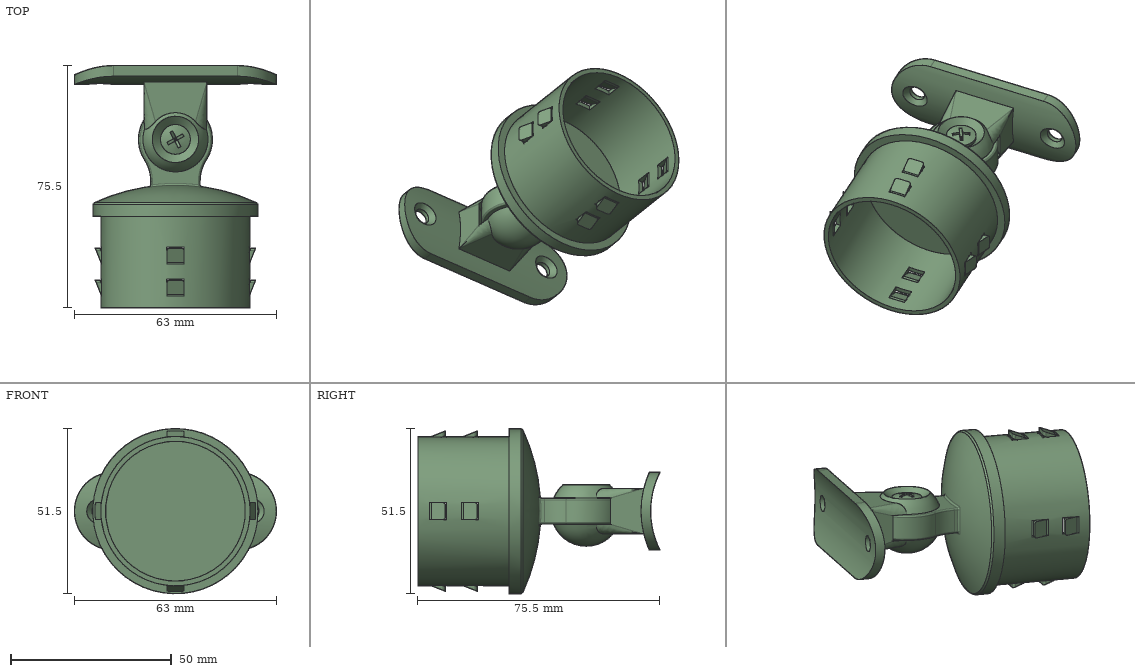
import cadquery as cq
import math


OVERALL_LENGTH = 75.5

TUBE_END_Y = -52.5
TUBE_RADIUS = 46.5 / 2
BORE_RADIUS = 43.5 / 2
FLANGE_RADIUS = 51.5 / 2
FLANGE_FRONT_Y = -24.0
FLANGE_BACK_Y = -20.3
FLANGE_BEVEL = 0.45
DOME_APEX_Y = -14.1
DOME_RADIUS = 60.0

TAB_SIZE = 5.3
TAB_ROOT = 0.6
TAB_INNER_ROOT = 0.9
TAB_RISE = 1.7
TAB_GAP = 0.3
TAB_CORNER_RADIUS = 0.75
TAB_FIRST_FRONT_Y = -33.6
TAB_PITCH = 10.0
TAB_ROWS = 2
TABS_PER_ROW = 4

EYE_RADIUS = 11.55
NECK_HALF_WIDTH = 7.7
NECK_FLANK_RADIUS = 12.5
TONGUE_THICKNESS = 8.1
TONGUE_EDGE_FILLET = 0.5
NECK_ROOT_FILLET = 0.6

PLATE_LENGTH = 63.0
PLATE_WIDTH = 24.3
PLATE_THICKNESS = 3.0
PLATE_EDGE_Y = OVERALL_LENGTH + TUBE_END_Y
PLATE_BACK_RADIUS = 26.8
PLATE_HOLE_X = 23.5
PLATE_HOLE_DIAMETER = 5.0
COUNTERSINK_DIAMETER = 8.3
COUNTERSINK_ANGLE = 90

ARM_WIDTH = 19.6
ARM_HEIGHT = 14.2
ARM_ROUNDING_START_Y = 17.5
ARM_CORNER_START_RADIUS = 0.1
ARM_CORNER_END_RADIUS = 5.2
BALL_RADIUS = 10.95
BALL_TOP_Z = 8.2
SLOT_HEIGHT = 8.3
SLOT_RADIUS = 12.4

SCREW_HEAD_RADIUS = 9.3 / 2
SCREW_SHANK_RADIUS = 7.0 / 2
SCREW_HEAD_EDGE_Z = 6.95
SCREW_HEAD_EDGE_HEIGHT = 1.0
SCREW_CROWN = 0.9
SCREW_BOTTOM_Z = -ARM_HEIGHT / 2
CROSS_LENGTH = 5.5
CROSS_WIDTH = 0.9
CROSS_DEPTH = 2.1
CROSS_ANGLE = 28

dish_floor_z = SCREW_HEAD_EDGE_Z - SCREW_HEAD_EDGE_HEIGHT
dish_rim_radius = math.sqrt(BALL_RADIUS**2 - BALL_TOP_Z**2)
plate_axis_y = PLATE_EDGE_Y + math.sqrt(PLATE_BACK_RADIUS**2 - (PLATE_WIDTH / 2) ** 2)
plate_front_radius = PLATE_BACK_RADIUS + PLATE_THICKNESS
plate_front_y = plate_axis_y - plate_front_radius


def cylinder_z(radius, bottom_z, top_z):
    """Cylinder on the bolt axis."""
    return cq.Workplane("XY").workplane(offset=bottom_z).circle(radius).extrude(top_z - bottom_z)


def y_plane(y):
    """Workplane facing +Y, with local (x, y) = (-X, Z)."""
    return cq.Workplane(cq.Plane(origin=(0, y, 0), xDir=(-1, 0, 0), normal=(0, 1, 0)))


def make_plug_shell():
    """Turned tube, flange and domed back, bored from the open end."""
    dome_edge_radius = FLANGE_RADIUS - FLANGE_BEVEL
    dome_center_y = DOME_APEX_Y - DOME_RADIUS

    def dome_y(radius):
        return dome_center_y + math.sqrt(DOME_RADIUS**2 - radius**2)

    dome_mid_radius = dome_edge_radius / 2
    dome_middle = (dome_mid_radius, dome_y(dome_mid_radius))
    dome_edge = (dome_edge_radius, dome_y(dome_edge_radius))
    return (
        cq.Workplane("XY")
        .moveTo(0, DOME_APEX_Y)
        .threePointArc(dome_middle, dome_edge)
        .lineTo(FLANGE_RADIUS, FLANGE_BACK_Y)
        .lineTo(FLANGE_RADIUS, FLANGE_FRONT_Y)
        .lineTo(TUBE_RADIUS, FLANGE_FRONT_Y)
        .lineTo(TUBE_RADIUS, TUBE_END_Y)
        .lineTo(BORE_RADIUS, TUBE_END_Y)
        .lineTo(BORE_RADIUS, FLANGE_FRONT_Y)
        .lineTo(0, FLANGE_FRONT_Y)
        .close()
        .revolve(360, (0, 0, 0), (0, 1, 0))
    )


def make_tongue():
    """Flat tongue: round eye flowing through concave flanks into a straight neck."""
    flank_center_x = NECK_HALF_WIDTH + NECK_FLANK_RADIUS
    center_distance = EYE_RADIUS + NECK_FLANK_RADIUS
    flank_center_y = -math.sqrt(center_distance**2 - flank_center_x**2)
    tangent_x = flank_center_x * EYE_RADIUS / center_distance
    tangent_y = flank_center_y * EYE_RADIUS / center_distance

    half_turn = math.atan2(-flank_center_y, flank_center_x) / 2
    flank_mid_x = flank_center_x - NECK_FLANK_RADIUS * math.cos(half_turn)
    flank_mid_y = flank_center_y + NECK_FLANK_RADIUS * math.sin(half_turn)
    return (
        cq.Workplane("XY")
        .workplane(offset=-TONGUE_THICKNESS / 2)
        .moveTo(tangent_x, tangent_y)
        .threePointArc((0, EYE_RADIUS), (-tangent_x, tangent_y))
        .threePointArc((-flank_mid_x, flank_mid_y), (-NECK_HALF_WIDTH, flank_center_y))
        .lineTo(-NECK_HALF_WIDTH, FLANGE_BACK_Y)
        .lineTo(NECK_HALF_WIDTH, FLANGE_BACK_Y)
        .lineTo(NECK_HALF_WIDTH, flank_center_y)
        .threePointArc((flank_mid_x, flank_mid_y), (tangent_x, tangent_y))
        .close()
        .extrude(TONGUE_THICKNESS)
        .faces("|Z")
        .edges("not <Y")
        .fillet(TONGUE_EDGE_FILLET)
    )


def make_window(front_y):
    """Square cutter through the top of the tube wall."""
    return (
        cq.Workplane("XY")
        .box(TAB_SIZE, TAB_SIZE, TUBE_RADIUS, centered=(True, False, False))
        .translate((0, front_y - TAB_SIZE, BORE_RADIUS / 2))
    )


def make_tab(front_y):
    """Piece of the tube wall, hinged at its -Y end and bent outward."""
    root_y = front_y - TAB_SIZE
    hinge_y = root_y + TAB_ROOT
    tip_y = front_y - TAB_GAP
    return (
        cq.Workplane("YZ")
        .workplane(offset=-TAB_SIZE / 2)
        .polyline([
            (root_y, BORE_RADIUS),
            (root_y + TAB_INNER_ROOT, BORE_RADIUS),
            (tip_y, BORE_RADIUS + TAB_RISE),
            (tip_y, TUBE_RADIUS + TAB_RISE),
            (hinge_y, TUBE_RADIUS),
            (root_y, TUBE_RADIUS),
        ])
        .close()
        .extrude(TAB_SIZE)
        .edges("|Z and >Y")
        .fillet(TAB_CORNER_RADIUS)
    )


def neck_root_zone():
    """Selects the edges where the neck meets the dome."""
    half_width = NECK_HALF_WIDTH + TONGUE_EDGE_FILLET
    return cq.selectors.BoxSelector(
        (-half_width, DOME_APEX_Y - NECK_ROOT_FILLET, -TONGUE_THICKNESS),
        (half_width, DOME_APEX_Y + TONGUE_EDGE_FILLET / 2, TONGUE_THICKNESS),
    )


def make_plug():
    plug = make_plug_shell().union(make_tongue())
    plug = plug.edges(neck_root_zone()).fillet(NECK_ROOT_FILLET)
    for row in range(TAB_ROWS):
        front_y = TAB_FIRST_FRONT_Y - row * TAB_PITCH
        for index in range(TABS_PER_ROW):
            angle = index * 360 / TABS_PER_ROW
            plug = plug.cut(make_window(front_y).rotate((0, 0, 0), (0, 1, 0), angle))
            plug = plug.union(make_tab(front_y).rotate((0, 0, 0), (0, 1, 0), angle))
    return plug.cut(cylinder_z(SCREW_SHANK_RADIUS, -TONGUE_THICKNESS, TONGUE_THICKNESS))


def make_plate():
    """Obround plate bent about an axis along X, with two countersunk holes."""
    bent_sheet = (
        cq.Workplane("YZ")
        .center(plate_axis_y, 0)
        .circle(plate_front_radius)
        .circle(PLATE_BACK_RADIUS)
        .extrude(PLATE_LENGTH / 2, both=True)
    )
    outline = y_plane(plate_front_y).slot2D(PLATE_LENGTH, PLATE_WIDTH).extrude(PLATE_BACK_RADIUS)
    plate = bent_sheet.intersect(outline)

    hole_radius = PLATE_HOLE_DIAMETER / 2
    sink_radius = COUNTERSINK_DIAMETER / 2
    sink_depth = (sink_radius - hole_radius) / math.tan(math.radians(COUNTERSINK_ANGLE / 2))
    for x in (-PLATE_HOLE_X, PLATE_HOLE_X):
        hole = (
            cq.Workplane("XY")
            .polyline([
                (x, plate_front_y),
                (x + sink_radius, plate_front_y),
                (x + hole_radius, plate_front_y + sink_depth),
                (x + hole_radius, PLATE_EDGE_Y),
                (x, PLATE_EDGE_Y),
            ])
            .close()
            .revolve(360, (x, 0, 0), (x, 1, 0))
        )
        plate = plate.cut(hole)
    return plate


def make_arm():
    """Rectangular arm whose long edges round off more and more toward the ball."""
    def section(radius):
        return cq.Sketch().rect(ARM_WIDTH, ARM_HEIGHT).vertices().fillet(radius)

    rounded = (
        y_plane(0)
        .placeSketch(
            section(ARM_CORNER_END_RADIUS),
            section(ARM_CORNER_START_RADIUS).moved(cq.Location(cq.Vector(0, 0, ARM_ROUNDING_START_Y))),
        )
        .loft(ruled=True)
    )
    root_length = plate_front_y + PLATE_THICKNESS - ARM_ROUNDING_START_Y
    root = y_plane(ARM_ROUNDING_START_Y).rect(ARM_WIDTH, ARM_HEIGHT).extrude(root_length)
    return rounded.union(root)


def make_dish():
    """Conical seat in the flat top of the ball, down to the screw head."""
    return (
        cq.Workplane("XZ")
        .polyline([
            (0, BALL_TOP_Z),
            (dish_rim_radius, BALL_TOP_Z),
            (SCREW_HEAD_RADIUS, dish_floor_z),
            (0, dish_floor_z),
        ])
        .close()
        .revolve(360, (0, 0, 0), (0, 1, 0))
    )


def make_bracket():
    ball = cq.Workplane("XY").sphere(BALL_RADIUS)
    ball = ball.cut(cylinder_z(BALL_RADIUS, BALL_TOP_Z, BALL_RADIUS))
    bracket = make_plate().union(make_arm()).union(ball)
    bracket = bracket.cut(cylinder_z(SLOT_RADIUS, -SLOT_HEIGHT / 2, SLOT_HEIGHT / 2))
    bracket = bracket.cut(make_dish())
    return bracket.cut(cylinder_z(SCREW_SHANK_RADIUS, SCREW_BOTTOM_Z, BALL_TOP_Z))


def make_cross_slot(top_z):
    """One slot of the cross recess, deepest at the bolt axis and sloping up to its ends."""
    end_z = SCREW_HEAD_EDGE_Z + SCREW_CROWN / 2
    return (
        cq.Workplane("XZ")
        .workplane(offset=-CROSS_WIDTH / 2)
        .polyline([
            (-CROSS_LENGTH / 2, top_z),
            (-CROSS_LENGTH / 2, end_z),
            (0, top_z - CROSS_DEPTH),
            (CROSS_LENGTH / 2, end_z),
            (CROSS_LENGTH / 2, top_z),
        ])
        .close()
        .extrude(CROSS_WIDTH)
    )


def make_screw():
    """Crowned head with a cross recess, on a plain shank through the tongue."""
    crown_z = SCREW_HEAD_EDGE_Z + SCREW_CROWN
    crown_radius = (SCREW_HEAD_RADIUS**2 + SCREW_CROWN**2) / (2 * SCREW_CROWN)
    crown_mid_radius = SCREW_HEAD_RADIUS / 2
    crown_mid_z = crown_z - crown_radius + math.sqrt(crown_radius**2 - crown_mid_radius**2)
    screw = (
        cq.Workplane("XZ")
        .moveTo(0, crown_z)
        .threePointArc((crown_mid_radius, crown_mid_z), (SCREW_HEAD_RADIUS, SCREW_HEAD_EDGE_Z))
        .lineTo(SCREW_HEAD_RADIUS, dish_floor_z)
        .lineTo(SCREW_SHANK_RADIUS, dish_floor_z)
        .lineTo(SCREW_SHANK_RADIUS, SCREW_BOTTOM_Z)
        .lineTo(0, SCREW_BOTTOM_Z)
        .close()
        .revolve(360, (0, 0, 0), (0, 1, 0))
    )
    for angle in (CROSS_ANGLE, CROSS_ANGLE + 90):
        screw = screw.cut(make_cross_slot(crown_z).rotate((0, 0, 0), (0, 0, 1), angle))
    return screw


plug = make_plug()
bracket = make_bracket()
screw = make_screw()

result = cq.Compound.makeCompound([plug.solids().val(), bracket.solids().val(), screw.solids().val()])